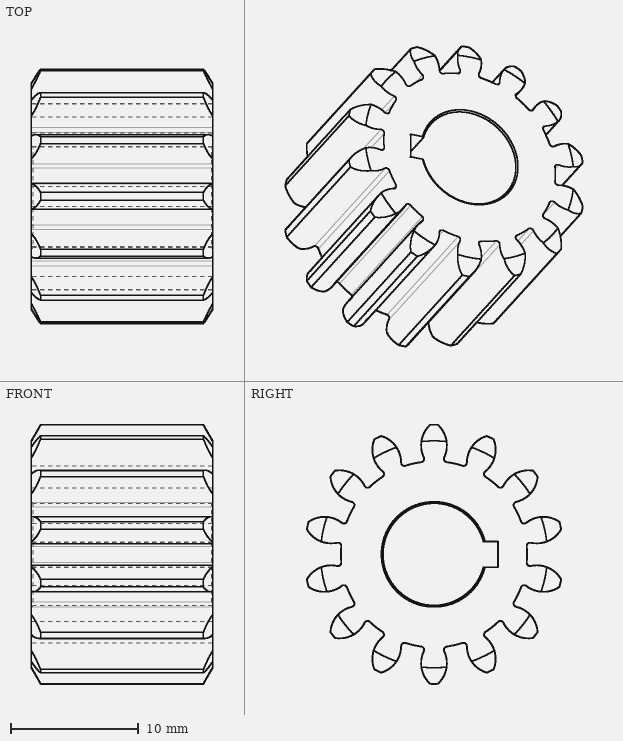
import cadquery as cq
import math

TEETH = 14
INCH = 25.4
DIAMETRAL_PITCH = 20
MODULE = INCH / DIAMETRAL_PITCH
FACE_WIDTH = 0.56 * INCH

PITCH_RADIUS = TEETH * MODULE / 2
OUTER_RADIUS = PITCH_RADIUS + MODULE
DEDENDUM = 1.25 * MODULE
ROOT_RADIUS = PITCH_RADIUS - DEDENDUM

FLANK_RADIUS = 2.2
WIDEST_RADIUS = 8.53
WIDEST_HALF_WIDTH = 1.02
ROOT_FILLET = 0.25
TOOTH_OVERLAP = 0.25

END_RELIEF_ANGLE = 30
END_RELIEF_LENGTH = (OUTER_RADIUS - PITCH_RADIUS) * math.tan(math.radians(END_RELIEF_ANGLE))

BORE_RADIUS = 4.0
BORE_CHAMFER = 0.127
KEYWAY_WIDTH = 2.0
KEYWAY_DEPTH = 1.0

TOLERANCE = 1e-3


def flank_half_width(height):
    """Half width of a tooth at a height measured along its centre line."""
    drop = FLANK_RADIUS - math.sqrt(FLANK_RADIUS**2 - (height - WIDEST_RADIUS) ** 2)
    return WIDEST_HALF_WIDTH - drop


def make_tooth():
    """One tooth pointing along +Z, reaching a little below the root circle."""
    foot_height = ROOT_RADIUS - TOOTH_OVERLAP
    foot = flank_half_width(foot_height)
    tip = flank_half_width(OUTER_RADIUS)
    shape = (
        cq.Workplane("YZ")
        .moveTo(-foot, foot_height)
        .threePointArc((-WIDEST_HALF_WIDTH, WIDEST_RADIUS), (-tip, OUTER_RADIUS))
        .lineTo(tip, OUTER_RADIUS)
        .threePointArc((WIDEST_HALF_WIDTH, WIDEST_RADIUS), (foot, foot_height))
        .close()
    )
    return shape.extrude(FACE_WIDTH / 2, both=True)


def fillet_roots(gear):
    """Round the corners where the flanks meet the root circle."""
    def on_root_circle(edge):
        centre = edge.Center()
        return abs(math.hypot(centre.y, centre.z) - ROOT_RADIUS) < TOLERANCE

    corners = gear.edges("|X").filter(on_root_circle)
    return corners.fillet(ROOT_FILLET)


def make_toothed_blank():
    """Solid root cylinder with all of its teeth."""
    gear = cq.Workplane("YZ").circle(ROOT_RADIUS).extrude(FACE_WIDTH / 2, both=True)
    tooth = make_tooth()
    for index in range(TEETH):
        angle = index * 360 / TEETH
        gear = gear.union(tooth.rotate((0, 0, 0), (1, 0, 0), angle))
    return fillet_roots(gear)


def revolve_about_axis(outline):
    """Turn an outline of (x, radius) points about the pinion axis."""
    return cq.Workplane("XY").polyline(outline).close().revolve(360, (0, 0, 0), (1, 0, 0))


def make_envelope():
    """Turned outline of the pinion: a cylinder with both end corners relieved."""
    half = FACE_WIDTH / 2
    shoulder = half - END_RELIEF_LENGTH
    outline = [
        (-half, 0),
        (-half, PITCH_RADIUS),
        (-shoulder, OUTER_RADIUS),
        (shoulder, OUTER_RADIUS),
        (half, PITCH_RADIUS),
        (half, 0),
    ]
    return revolve_about_axis(outline)


def make_bore():
    """Bore with a small chamfer at each end."""
    half = FACE_WIDTH / 2
    mouth_radius = BORE_RADIUS + BORE_CHAMFER
    outline = [
        (-half, 0),
        (-half, mouth_radius),
        (-half + BORE_CHAMFER, BORE_RADIUS),
        (half - BORE_CHAMFER, BORE_RADIUS),
        (half, mouth_radius),
        (half, 0),
    ]
    return revolve_about_axis(outline)


def make_keyway():
    """Rectangular keyway on the +Y side, running the full face width."""
    reach = BORE_RADIUS + KEYWAY_DEPTH
    return cq.Workplane("XY").box(FACE_WIDTH, reach, KEYWAY_WIDTH).translate((0, reach / 2, 0))


blank = make_toothed_blank().intersect(make_envelope())
result = blank.cut(make_bore()).cut(make_keyway())